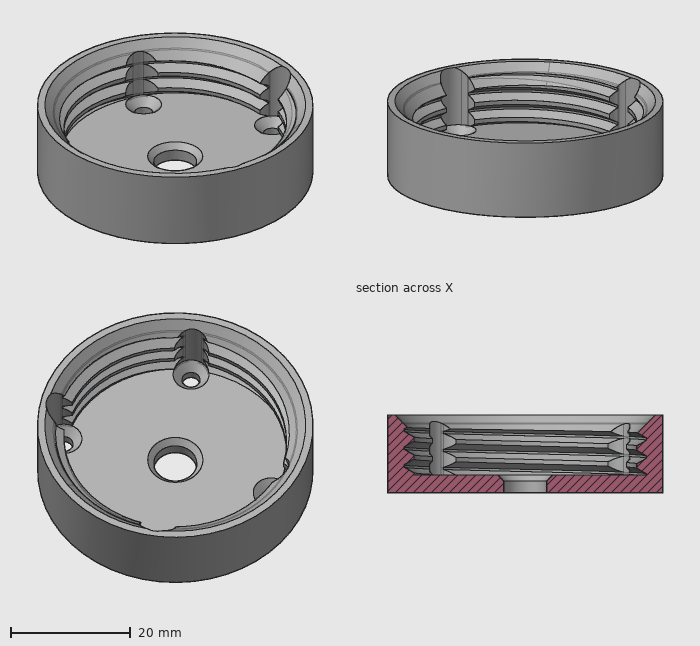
import cadquery as cq
import math

outer_diameter = 46.0
height = 13.0
floor_thickness = 3.0
mouth_radius = 21.75
lead_in_depth = 4.6

pitch = 3.0
crest_radius = 18.6
thread_depth = 0.625 * pitch * math.cos(math.radians(30))
root_radius = crest_radius + thread_depth
crest_width = pitch / 4
thread_start_angle = -90.0

center_hole_diameter = 7.18
center_sink_diameter = 9.2
screw_hole_diameter = 3.0
screw_head_diameter = 6.0
screw_positions = [(12.95, 13.9), (12.95, -14.0), (-9.5, 14.5), (-11.95, -13.0)]

overlap = 0.2


def make_cup():
    """Cylinder with a round bore and a 45 degree lead-in at the mouth."""
    body = cq.Workplane("XY").circle(outer_diameter / 2).extrude(height)
    bore = (
        cq.Workplane("XY", origin=(0, 0, floor_thickness))
        .circle(root_radius)
        .extrude(height - floor_thickness)
    )
    return body.cut(bore).cut(make_lead_in())


def make_lead_in():
    """Cone that opens the mouth and trims the first thread turn."""
    base_point = cq.Vector(0, 0, height - lead_in_depth)
    base_radius = mouth_radius - lead_in_depth
    return cq.Workplane(cq.Solid.makeCone(base_radius, mouth_radius, lead_in_depth, pnt=base_point))


def make_thread():
    """Right-hand helical ridge, trimmed by the floor and by the lead-in."""
    start_z = floor_thickness - pitch
    length = height - start_z
    half_crest = crest_width / 2
    flank_slope = math.tan(math.radians(30))
    half_base = half_crest + (thread_depth + overlap) * flank_slope
    base_radius = root_radius + overlap
    path = cq.Workplane(cq.Wire.makeHelix(pitch, length, crest_radius))
    ridge = (
        cq.Workplane("XZ")
        .moveTo(crest_radius, -half_crest)
        .lineTo(crest_radius, half_crest)
        .lineTo(base_radius, half_base)
        .lineTo(base_radius, -half_base)
        .close()
        .sweep(path, isFrenet=True)
        .rotate((0, 0, 0), (0, 0, 1), thread_start_angle)
        .translate((0, 0, start_z))
    )
    bottom = floor_thickness - overlap
    outer_radius = base_radius + overlap
    inner_radius = mouth_radius - lead_in_depth
    envelope = (
        cq.Workplane("XZ")
        .moveTo(inner_radius, bottom)
        .lineTo(outer_radius, bottom)
        .lineTo(outer_radius, height - mouth_radius + outer_radius)
        .lineTo(inner_radius, height - lead_in_depth)
        .close()
        .revolve(360, (0, 0, 0), (0, 1, 0))
    )
    return ridge.intersect(envelope)


def countersunk_hole(hole_diameter, head_diameter):
    """Through hole with a 45 degree countersink and head clearance up to the rim."""
    hole_radius = hole_diameter / 2
    head_radius = head_diameter / 2
    sink_depth = head_radius - hole_radius
    return (
        cq.Workplane("XZ")
        .moveTo(0, 0)
        .lineTo(hole_radius, 0)
        .lineTo(hole_radius, floor_thickness - sink_depth)
        .lineTo(head_radius, floor_thickness)
        .lineTo(head_radius, height)
        .lineTo(0, height)
        .close()
        .revolve(360, (0, 0, 0), (0, 1, 0))
    )


def cut_holes(body):
    """Cut the center hole and the screw holes out of a body."""
    body = body.cut(countersunk_hole(center_hole_diameter, center_sink_diameter), clean=False)
    screw_hole = countersunk_hole(screw_hole_diameter, screw_head_diameter)
    for x, y in screw_positions:
        body = body.cut(screw_hole.translate((x, y, 0)), clean=False)
    return body


result = cut_holes(make_cup()).union(cut_holes(make_thread()), clean=False)